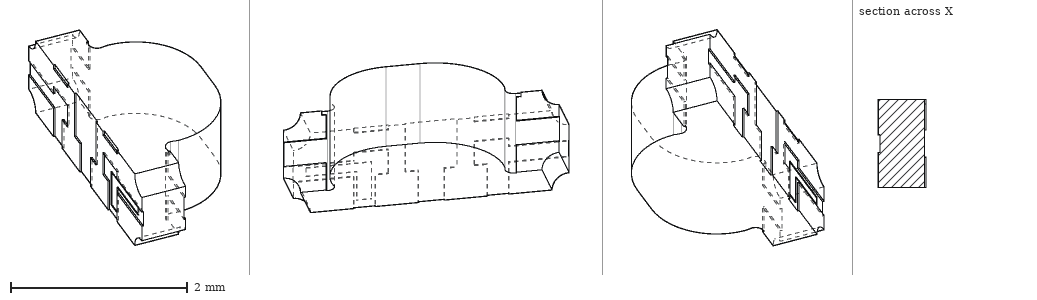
import cadquery as cq

length = 3.2
height = 1.0
depth = 1.52
foil = 0.02
board_rear = 0.525
corner_radius = 0.2

gap_outer = 0.9
gap_inner = 0.5
gap_top = 0.7
gap_bottom = 0.4
end_band_top = 0.6
side_stem_width = 0.25
middle_head_half = 0.3
middle_stem_half = 0.15
edge_notch_height = 0.05

mark_depth = 0.01
mark_inner = 0.688
mark_stem_width = 0.173
mark_bottom = 0.093
mark_arm_bottom = 0.45
mark_top = 0.557
mark_end = 1.45

rear_pad_length = 0.495
rear_pad_top_length = 0.445
rear_gap_bottom = 0.345
rear_gap_top = 0.653

lens_half_width = 1.005
lens_radius = 0.805
lens_neck_half_width = 0.992
lens_root_radius = 0.1


def box(x_min, x_max, y_min, y_max, z_min, z_max):
    """Box given by its limits along each axis."""
    size = (x_max - x_min, y_max - y_min, z_max - z_min)
    return cq.Workplane("XY").box(*size, centered=False).translate((x_min, y_min, z_min))


def front_pocket(x_min, x_max, z_min, z_max):
    """Rectangular gap through the front conductor layer."""
    return box(x_min, x_max, 0, foil, z_min, z_max)


def mirror_ends(solid):
    """The solid together with its mirror image at the other end of the part."""
    return solid.union(solid.mirror("YZ"))


def make_side_gap():
    """Right-hand gap: a head, a stem to the bottom edge and a band to the end face."""
    head = front_pocket(gap_inner, gap_outer, gap_bottom, gap_top)
    stem = front_pocket(gap_outer - side_stem_width, gap_outer, 0, gap_bottom)
    band = front_pocket(gap_outer, length / 2, gap_bottom, end_band_top)
    edge_notch = front_pocket(gap_inner, gap_outer, height - edge_notch_height, height)
    return head.union(stem).union(band).union(edge_notch)


def make_middle_gap():
    """T-shaped gap running the full height at the centre."""
    head = front_pocket(-middle_head_half, middle_head_half, gap_bottom, height)
    stem = front_pocket(-middle_stem_half, middle_stem_half, 0, gap_bottom)
    return head.union(stem)


def make_mark():
    """L-shaped recess below the floor of the right-hand gap."""
    mark_floor = foil + mark_depth
    mark_outer = mark_inner + mark_stem_width
    stem = box(mark_inner, mark_outer, foil, mark_floor, mark_bottom, mark_top)
    arm = box(mark_outer, mark_end, foil, mark_floor, mark_arm_bottom, mark_top)
    return stem.union(arm)


def make_rear_pad():
    """Right-hand rear pad, split by a band and stepped back along its top edge."""
    start = length / 2 - rear_pad_length
    top_start = length / 2 - rear_pad_top_length
    rear = board_rear + foil
    step_z = height - edge_notch_height
    lower = box(start, length / 2, board_rear, rear, 0, rear_gap_bottom)
    upper = box(start, length / 2, board_rear, rear, rear_gap_top, step_z)
    top_strip = box(top_start, length / 2, board_rear, rear, step_z, height)
    return lower.union(upper).union(top_strip)


def make_corner_notches():
    """Cylinders along Y that hollow out the four long end corners."""
    corners = [(x, z) for x in (-length / 2, length / 2) for z in (0, height)]
    rods = cq.Workplane("XZ").pushPoints(corners).circle(corner_radius)
    return rods.extrude(-(board_rear + foil))


def make_lens():
    """Domed lens with rounded shoulders, a tapered neck and a concave root against the board."""
    half = lens_half_width
    neck = lens_neck_half_width
    root = neck + lens_root_radius
    flat_half = half - lens_radius
    shoulder_y = depth - lens_radius
    root_y = board_rear + lens_root_radius
    profile = (
        cq.Workplane("XY")
        .moveTo(-root, board_rear)
        .radiusArc((-neck, root_y), -lens_root_radius)
        .lineTo(-half, shoulder_y)
        .radiusArc((-flat_half, depth), lens_radius)
        .lineTo(flat_half, depth)
        .radiusArc((half, shoulder_y), lens_radius)
        .lineTo(neck, root_y)
        .radiusArc((root, board_rear), -lens_root_radius)
        .close()
    )
    return profile.extrude(height)


board = box(-length / 2, length / 2, 0, board_rear, 0, height)
board = board.cut(mirror_ends(make_side_gap()))
board = board.cut(make_middle_gap())
board = board.cut(make_mark())
board = board.union(mirror_ends(make_rear_pad()))
board = board.cut(make_corner_notches())

result = board.union(make_lens())